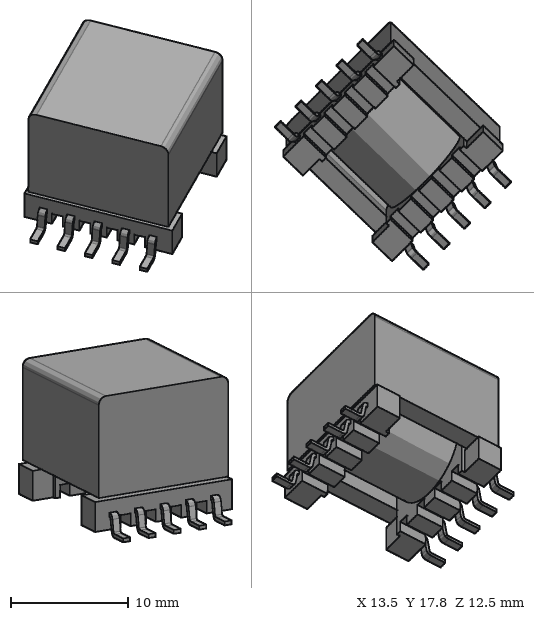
import cadquery as cq
import math

overall_length = 17.75
overall_height = 12.5

core_width = 12.78
core_length = 13.03
core_bottom = 3.5
core_edge_radius = 0.71

coil_diameter = 8.48
coil_bottom = 1.7
coil_axis_z = coil_bottom + coil_diameter / 2
flange_width = 9.46
flange_thickness = 0.65
spool_length = 8.98

block_width = 13.5
block_depth = 2.36
block_bottom = 0.51
block_top = 3.2
block_outer_y = core_length / 2

lead_count = 5
lead_pitch = 2.5
lead_width = 0.7
lead_thickness = 0.35
lead_top = 2.05
lead_lean = math.radians(10)
bend_inner_radius = 0.18
slot_width = 0.98
slot_top = 1.65


def centered_positions(count):
    """X positions of items at the lead pitch, centred on X = 0."""
    return [(i - (count - 1) / 2) * lead_pitch for i in range(count)]


def box_between(width, y_start, y_end, z_start, z_end):
    """Box centred on X = 0 between the given Y and Z limits."""
    box = cq.Workplane("XY").box(width, y_end - y_start, z_end - z_start, centered=(True, False, False))
    return box.translate((0, y_start, z_start))


def arched_plate(bottom, y_start, y_end):
    """Arch-shaped plate: straight sides with a round top about the coil axis."""
    half_width = flange_width / 2
    return (
        cq.Workplane("XZ", origin=(0, y_start, 0))
        .moveTo(-half_width, bottom)
        .lineTo(half_width, bottom)
        .lineTo(half_width, coil_axis_z)
        .threePointArc((0, coil_axis_z + half_width), (-half_width, coil_axis_z))
        .close()
        .extrude(y_start - y_end)
    )


def mirror_to_back(front_half):
    """Copy a front (-Y) feature to the back (+Y) side and join the two."""
    return front_half.union(front_half.mirror("XZ"))


def make_core():
    """Block with two rounded top edges and an arched pocket for the spool, open below."""
    half_length = core_length / 2
    core = box_between(core_width, -half_length, half_length, core_bottom, overall_height)
    core = core.edges("|Y and >Z").fillet(core_edge_radius)
    pocket = arched_plate(core_bottom, -spool_length / 2, spool_length / 2)
    return core.cut(pocket)


def make_lead():
    """Front gull-wing lead on X = 0, a flat strip swept along its centreline."""
    radius = bend_inner_radius + lead_thickness / 2
    bend_angle = math.pi / 2 - lead_lean
    bend_run = radius * math.sin(bend_angle)
    bend_drop = radius * (1 - math.cos(bend_angle))
    half_run = radius * math.sin(bend_angle / 2)
    half_drop = radius * (1 - math.cos(bend_angle / 2))

    root_z = lead_top - lead_thickness / 2
    foot_z = lead_thickness / 2
    leg_top = (-block_outer_y - bend_run, root_z - bend_drop)
    leg_bottom_z = foot_z + bend_drop
    leg_bottom = (leg_top[0] - (leg_top[1] - leg_bottom_z) * math.tan(lead_lean), leg_bottom_z)
    foot_start_y = leg_bottom[0] - bend_run

    centreline = (
        cq.Workplane("YZ")
        .moveTo(-block_outer_y, root_z)
        .threePointArc((-block_outer_y - half_run, root_z - half_drop), leg_top)
        .lineTo(*leg_bottom)
        .threePointArc((foot_start_y + half_run, foot_z + half_drop), (foot_start_y, foot_z))
        .lineTo(-overall_length / 2, foot_z)
    )
    section = cq.Workplane("XZ", origin=(0, -block_outer_y, root_z)).rect(lead_width, lead_thickness)
    return section.sweep(centreline)


def make_bobbin():
    """Coil, flanges, slotted terminal blocks and leads as one solid."""
    half_spool = spool_length / 2
    flange = arched_plate(block_bottom, -half_spool, -half_spool + flange_thickness)
    block_inner_y = -block_outer_y + block_depth
    block = box_between(block_width, -block_outer_y, block_inner_y, block_bottom, block_top)
    end = flange.union(block)

    slot = box_between(slot_width, -block_outer_y, -half_spool + flange_thickness, block_bottom, slot_top)
    for x in centered_positions(lead_count - 1):
        end = end.cut(slot.translate((x, 0, 0)))

    lead = make_lead()
    for x in centered_positions(lead_count):
        end = end.union(lead.translate((x, 0, 0)))

    coil_length = spool_length - 2 * flange_thickness
    coil = (
        cq.Workplane("XZ", origin=(0, 0, coil_axis_z))
        .circle(coil_diameter / 2)
        .extrude(coil_length)
        .translate((0, coil_length / 2, 0))
    )
    return mirror_to_back(end).union(coil)


core = make_core()
bobbin = make_bobbin()
result = cq.Compound.makeCompound([core.solids().val(), bobbin.solids().val()])